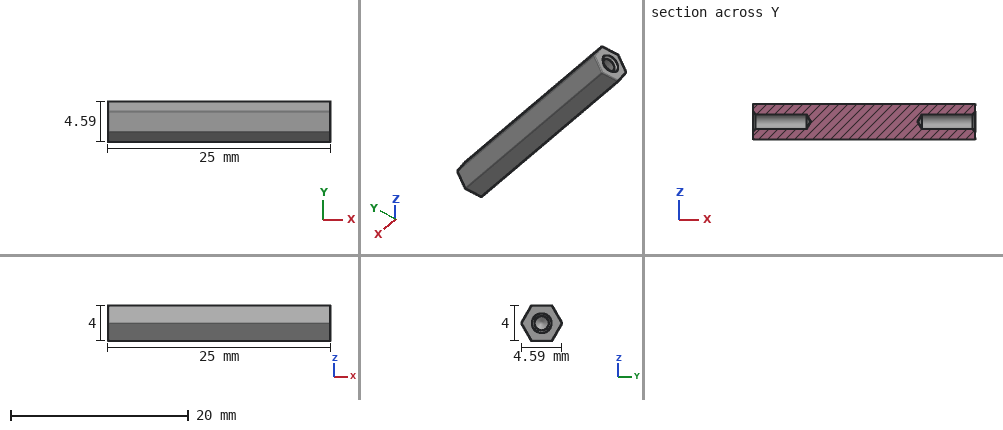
import cadquery as cq
import math

length = 25.0
across_flats = 4.0
side_count = 6
edge_radius = 0.1

hole_diameter = 1.6
countersink_diameter = 2.2
hole_depth = 6.0
drill_point_angle = 118.0

across_corners = across_flats / math.cos(math.pi / side_count)


def hex_body():
    """Hexagonal bar from X = 0, flats facing +Z and -Z, every edge rounded."""
    bar = cq.Workplane("YZ").polygon(side_count, across_corners).extrude(length)
    return bar.edges().fillet(edge_radius)


def end_hole():
    """Hole cutter entering at X = 0: 45 degree countersink, bore and drill point."""
    hole_radius = hole_diameter / 2
    countersink_radius = countersink_diameter / 2
    countersink_depth = countersink_radius - hole_radius
    point_depth = hole_radius / math.tan(math.radians(drill_point_angle / 2))
    half_profile = [
        (0, 0),
        (0, countersink_radius),
        (countersink_depth, hole_radius),
        (hole_depth, hole_radius),
        (hole_depth + point_depth, 0),
    ]
    return cq.Workplane("XY").polyline(half_profile).close().revolve(360, (0, 0), (1, 0))


near_hole = end_hole()
far_hole = near_hole.mirror("YZ", (length / 2, 0, 0))
result = hex_body().cut(near_hole).cut(far_hole)